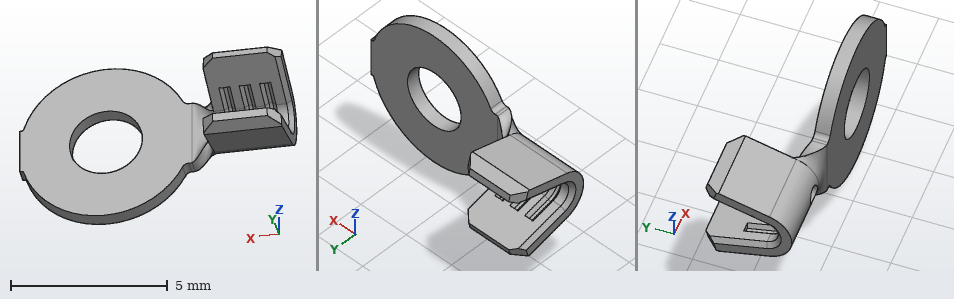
import cadquery as cq
import math


OVERALL_LENGTH = 8.89

SHEET = 0.52
RING_RADIUS = 2.792
HOLE_RADIUS = 1.18
TAB_END_X = 2.797
TAB_HALF_WIDTH = 0.77
TAB_FILLET = 0.08
RING_NECK_FILLET = 0.22

NECK_HALF_WIDTH = 1.14
NECK_END_X = -2.8
NECK_ARC_HALF_ANGLE = math.radians(84)
NECK_STEPS = 4
NECK_FLATTENING_EXPONENT = 1.5

BARREL_LENGTH = 2.53
BARREL_START_X = TAB_END_X - OVERALL_LENGTH
BARREL_END_X = BARREL_START_X + BARREL_LENGTH
BEND_OUTER = 1.02
BEND_INNER = BEND_OUTER - SHEET
BEND_CENTRE_Y = BEND_OUTER
LEG_ANGLE_DEGREES = 15
LEG_ANGLE = math.radians(LEG_ANGLE_DEGREES)
BARREL_HEIGHT = 3.05
LEG_LENGTH = (
    BARREL_HEIGHT - BEND_CENTRE_Y + BEND_INNER * math.sin(LEG_ANGLE)
) / math.cos(LEG_ANGLE)

TIP_THICKNESS = 0.26
TIP_BEVEL_ANGLE = math.radians(30)
TIP_BEVEL_LENGTH = (SHEET - TIP_THICKNESS) / math.tan(TIP_BEVEL_ANGLE)
TIP_CORNER = 0.38
MOUTH_CHAMFER = 0.16

GROOVE_COUNT = 3
GROOVE_PITCH = 0.66
GROOVE_FIRST_X = BARREL_START_X + 0.68
GROOVE_TOP_WIDTH = 0.36
GROOVE_FLOOR_WIDTH = 0.12
GROOVE_DEPTH = 0.13
GROOVE_LEG_LENGTH = 0.95

RECESS_X = BARREL_START_X + 2.09
RECESS_RADIUS = 0.32
RECESS_DEPTH = 0.37

CLEARANCE = 0.1
SELECTION_MARGIN = 0.01


def leg_point(along, out, side):
    """(Y, Z) of a point on a leg, from the bend centre: along the leg and outward from it."""
    y = BEND_CENTRE_Y + along * math.cos(LEG_ANGLE) - out * math.sin(LEG_ANGLE)
    z = along * math.sin(LEG_ANGLE) + out * math.cos(LEG_ANGLE)
    return (y, side * z)


def bend_bottom(radius):
    """(Y, Z) of the lowest point of a bend arc."""
    return (BEND_CENTRE_Y - radius, 0)


def make_ring():
    neck = cq.Workplane("XY").box(
        -NECK_END_X, SHEET, 2 * NECK_HALF_WIDTH, centered=(False, False, True)
    ).translate((NECK_END_X, 0, 0))
    tab = cq.Workplane("XY").box(
        TAB_END_X, SHEET, 2 * TAB_HALF_WIDTH, centered=(False, False, True)
    )
    disc = cq.Workplane("XZ").circle(RING_RADIUS).extrude(-SHEET)
    ring = disc.union(neck).union(tab)

    def corners(half_width, direction):
        """Box around the two upright edges where a strip of this half width meets the disc."""
        x = direction * math.sqrt(RING_RADIUS**2 - half_width**2)
        reach = SELECTION_MARGIN
        return cq.selectors.BoxSelector(
            (x - reach, -reach, -half_width - reach),
            (x + reach, SHEET + reach, half_width + reach),
        )

    ring = ring.edges("|Y").edges(corners(NECK_HALF_WIDTH, -1)).fillet(RING_NECK_FILLET)
    ring = ring.edges("|Y").edges(corners(TAB_HALF_WIDTH, 1)).fillet(TAB_FILLET)
    hole = cq.Workplane("XZ").circle(HOLE_RADIUS).extrude(-SHEET)
    return ring.cut(hole)


def make_barrel_body():
    """U-shaped sheet with opening legs; each tip is bevelled on its outer side."""
    bevel_start = LEG_LENGTH - TIP_BEVEL_LENGTH
    tip_out = BEND_INNER + TIP_THICKNESS
    return (
        cq.Workplane("YZ", origin=(BARREL_START_X, 0, 0))
        .moveTo(*leg_point(0, BEND_OUTER, 1))
        .lineTo(*leg_point(bevel_start, BEND_OUTER, 1))
        .lineTo(*leg_point(LEG_LENGTH, tip_out, 1))
        .lineTo(*leg_point(LEG_LENGTH, BEND_INNER, 1))
        .lineTo(*leg_point(0, BEND_INNER, 1))
        .threePointArc(bend_bottom(BEND_INNER), leg_point(0, BEND_INNER, -1))
        .lineTo(*leg_point(LEG_LENGTH, BEND_INNER, -1))
        .lineTo(*leg_point(LEG_LENGTH, tip_out, -1))
        .lineTo(*leg_point(bevel_start, BEND_OUTER, -1))
        .lineTo(*leg_point(0, BEND_OUTER, -1))
        .threePointArc(bend_bottom(BEND_OUTER), leg_point(0, BEND_OUTER, 1))
        .close()
        .extrude(BARREL_LENGTH)
    )


def make_mouth_chamfer():
    """Tool that flares the inside of the barrel at its open end."""

    def opening(plane, radius):
        far = LEG_LENGTH + CLEARANCE
        return (
            plane.moveTo(*leg_point(far, radius, 1))
            .lineTo(*leg_point(0, radius, 1))
            .threePointArc(bend_bottom(radius), leg_point(0, radius, -1))
            .lineTo(*leg_point(far, radius, -1))
            .close()
        )

    end_plane = cq.Workplane("YZ", origin=(BARREL_START_X, 0, 0))
    wide = opening(end_plane, BEND_INNER + MOUTH_CHAMFER)
    inner_plane = wide.workplane(offset=MOUTH_CHAMFER, origin=(BARREL_START_X, 0, 0))
    return opening(inner_plane, BEND_INNER).loft(ruled=True)


def make_tip_corner(x, inward, side):
    """Wedge that cuts one corner off a leg tip; inward is the X direction into the leg."""
    wedge = (
        cq.Workplane("XY")
        .polyline(
            [
                (x, LEG_LENGTH - TIP_CORNER),
                (x + inward * TIP_CORNER, LEG_LENGTH),
                (x, LEG_LENGTH),
            ]
        )
        .close()
        .extrude(BEND_OUTER + CLEARANCE)
        .rotate((0, 0, 0), (1, 0, 0), LEG_ANGLE_DEGREES)
        .translate((0, BEND_CENTRE_Y, 0))
    )
    return wedge if side > 0 else wedge.mirror("XY")


def make_groove(x):
    """Trapezoidal groove that follows the inside of the U from leg to leg."""
    start = leg_point(GROOVE_LEG_LENGTH, BEND_INNER, 1)
    path = (
        cq.Workplane("YZ", origin=(x, 0, 0))
        .moveTo(*start)
        .lineTo(*leg_point(0, BEND_INNER, 1))
        .threePointArc(bend_bottom(BEND_INNER), leg_point(0, BEND_INNER, -1))
        .lineTo(*leg_point(GROOVE_LEG_LENGTH, BEND_INNER, -1))
    )
    half_top = GROOVE_TOP_WIDTH / 2
    half_floor = GROOVE_FLOOR_WIDTH / 2
    section_plane = cq.Plane(
        origin=(x, *start),
        xDir=(1, 0, 0),
        normal=(0, -math.cos(LEG_ANGLE), -math.sin(LEG_ANGLE)),
    )
    return (
        cq.Workplane(section_plane)
        .polyline(
            [
                (-half_top, -CLEARANCE),
                (half_top, -CLEARANCE),
                (half_top, 0),
                (half_floor, GROOVE_DEPTH),
                (-half_floor, GROOVE_DEPTH),
                (-half_top, 0),
            ]
        )
        .close()
        .sweep(path)
    )


def make_barrel():
    barrel = make_barrel_body().cut(make_mouth_chamfer())
    for side in (1, -1):
        barrel = barrel.cut(make_tip_corner(BARREL_START_X, 1, side))
        barrel = barrel.cut(make_tip_corner(BARREL_END_X, -1, side))
    for index in range(GROOVE_COUNT):
        barrel = barrel.cut(make_groove(GROOVE_FIRST_X + index * GROOVE_PITCH))
    recess = cq.Workplane("XZ", origin=(RECESS_X, 0, 0)).circle(RECESS_RADIUS).extrude(-RECESS_DEPTH)
    return barrel.cut(recess)


def neck_section(fraction):
    """Wire across the neck; fraction runs from 0 at the barrel's arc to 1 at the flat sheet."""
    x = BARREL_END_X + fraction * (NECK_END_X - BARREL_END_X)
    half_angle = NECK_ARC_HALF_ANGLE * (1 - fraction) ** NECK_FLATTENING_EXPONENT
    widening = fraction**2 * (3 - 2 * fraction)
    barrel_half_width = BEND_OUTER * math.sin(NECK_ARC_HALF_ANGLE)
    half_width = barrel_half_width + widening * (NECK_HALF_WIDTH - barrel_half_width)
    plane = cq.Workplane("YZ", origin=(x, 0, 0))
    if fraction == 1:
        outline = (
            plane.moveTo(0, -half_width)
            .lineTo(0, half_width)
            .lineTo(SHEET, half_width)
            .lineTo(SHEET, -half_width)
            .close()
        )
        return outline.val()
    outer = half_width / math.sin(half_angle)
    inner = outer - SHEET

    def end(radius, side):
        return (outer - radius * math.cos(half_angle), side * radius * math.sin(half_angle))

    outline = (
        plane.moveTo(*end(outer, -1))
        .threePointArc((0, 0), end(outer, 1))
        .lineTo(*end(inner, 1))
        .threePointArc((SHEET, 0), end(inner, -1))
        .close()
    )
    return outline.val()


def make_neck():
    sections = [neck_section(step / NECK_STEPS) for step in range(NECK_STEPS + 1)]
    return cq.Workplane(cq.Solid.makeLoft(sections))


result = make_ring().union(make_neck()).union(make_barrel())